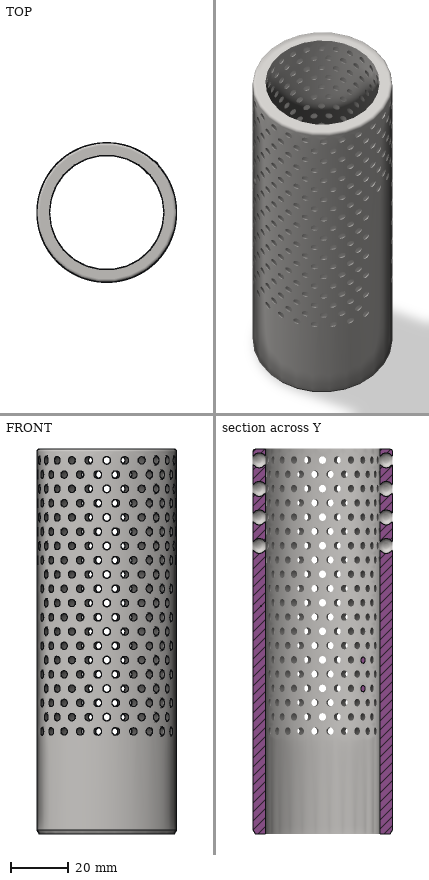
import cadquery as cq
import math

OUTER_DIAMETER = 49.0
BORE_DIAMETER = 40.0
LENGTH = 135.0
TOP_FILLET = 1.0
BOTTOM_CHAMFER_HEIGHT = 1.5
BOTTOM_CHAMFER_ANGLE = 30.0

POCKET_DIAMETER = 5.2
POCKETS_PER_ROW = 24
ROW_COUNT = 20
FULL_ROW_COUNT = 8
ROW_PITCH = 5.0
TOP_ROW_DEPTH = 4.0

OUTER_RADIUS = OUTER_DIAMETER / 2
BORE_RADIUS = BORE_DIAMETER / 2
POCKET_RADIUS = POCKET_DIAMETER / 2
POCKET_CENTRE_RADIUS = (OUTER_RADIUS + BORE_RADIUS) / 2
ANGLE_PITCH = 360.0 / POCKETS_PER_ROW
STAGGER_ANGLE = ANGLE_PITCH / 2

PLAIN_STRIP_HALF_ANGLE = 1.25 * ANGLE_PITCH


def make_sleeve():
    """Plain tube with a rounded top rim and a tapered bottom rim, revolved about Z."""
    chamfer_inset = BOTTOM_CHAMFER_HEIGHT * math.tan(math.radians(BOTTOM_CHAMFER_ANGLE))
    profile = (
        cq.Workplane("XZ")
        .moveTo(BORE_RADIUS, 0)
        .lineTo(OUTER_RADIUS - chamfer_inset, 0)
        .lineTo(OUTER_RADIUS, BOTTOM_CHAMFER_HEIGHT)
        .lineTo(OUTER_RADIUS, LENGTH - TOP_FILLET)
        .tangentArcPoint((-TOP_FILLET, TOP_FILLET))
        .lineTo(BORE_RADIUS, LENGTH)
        .close()
    )
    return profile.revolve(360, (0, 0, 0), (0, 1, 0))


def in_plain_strip(angle):
    """True when an angle, measured from +X, falls in the strip on either X side."""
    folded = angle % 180
    return min(folded, 180 - folded) < PLAIN_STRIP_HALF_ANGLE


def row_angles(row):
    """Pocket angles of one row, counted from the top; every second row is staggered."""
    start = STAGGER_ANGLE * (row % 2)
    angles = [start + i * ANGLE_PITCH for i in range(POCKETS_PER_ROW)]
    if row < FULL_ROW_COUNT:
        return angles
    return [angle for angle in angles if not in_plain_strip(angle)]


def make_pocket_cutters():
    """Balls centred midway through the wall, each bulging past both wall surfaces."""
    ball = cq.Workplane("XY").sphere(POCKET_RADIUS, direct=(0, 1, 0)).val()
    ball_on_x = ball.translate(cq.Vector(POCKET_CENTRE_RADIUS, 0, 0))
    cutters = []
    for row in range(ROW_COUNT):
        height = LENGTH - TOP_ROW_DEPTH - row * ROW_PITCH
        for angle in row_angles(row):
            turned = ball_on_x.rotate(cq.Vector(0, 0, 0), cq.Vector(0, 0, 1), angle)
            cutters.append(turned.translate(cq.Vector(0, 0, height)))
    return cq.Compound.makeCompound(cutters)


result = make_sleeve().cut(cq.Workplane(obj=make_pocket_cutters()))